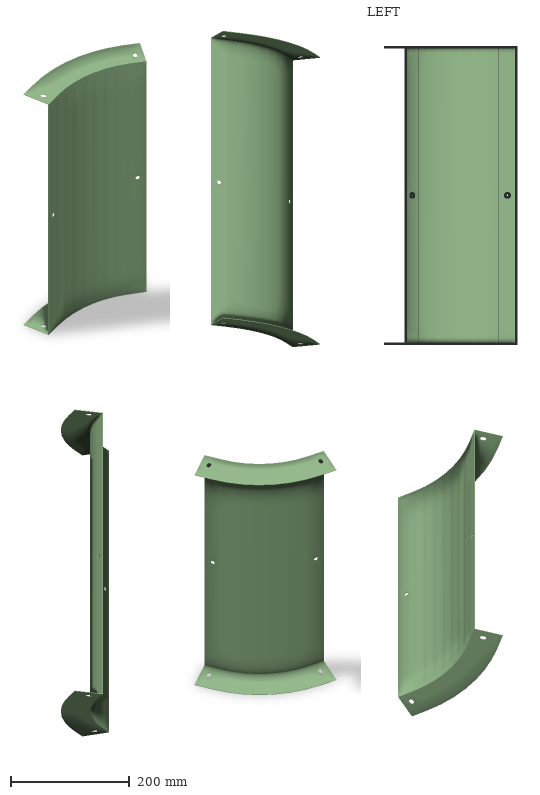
import cadquery as cq
import math

height = 500.0
sheet = 1.0
flange_width = 50.0
bend_radius = 190.0
bend_angle = 45.0
straight = 30.0
hole_diameter = 7.0
slot_length = 10.5
end_distance = straight / 2
slot_inset = 20.0

centre_x = flange_width + bend_radius
sweep = math.radians(bend_angle)
end_direction = (math.sin(sweep), math.cos(sweep))


def arc_point(radius, angle):
    """Point on an arc about the bend centre; angle zero is the -X side."""
    return (centre_x - radius * math.cos(angle), straight + radius * math.sin(angle))


def beyond_arc(radius, distance):
    """Point on the second straight run, a distance past the end of the arc."""
    x, y = arc_point(radius, sweep)
    return (x + distance * end_direction[0], y + distance * end_direction[1])


def curved_strip(width, thickness):
    """Plate following the bend, extending outward from the inner radius."""
    outer_radius = bend_radius + width
    return (
        cq.Workplane("XY")
        .moveTo(centre_x - bend_radius, 0)
        .lineTo(*arc_point(bend_radius, 0))
        .threePointArc(arc_point(bend_radius, sweep / 2), arc_point(bend_radius, sweep))
        .lineTo(*beyond_arc(bend_radius, straight))
        .lineTo(*beyond_arc(outer_radius, straight))
        .lineTo(*arc_point(outer_radius, sweep))
        .threePointArc(arc_point(outer_radius, sweep / 2), arc_point(outer_radius, 0))
        .lineTo(centre_x - outer_radius, 0)
        .close()
        .extrude(thickness)
    )


def slot_cutter(position, angle):
    """Round-ended slot through both flanges, long across the strip."""
    return (
        cq.Workplane("XY")
        .center(*position)
        .slot2D(slot_length, hole_diameter, angle)
        .extrude(height)
    )


def wall_hole_cutter(position, angle):
    """Round hole through the wall at mid height, square to its face."""
    direction = cq.Vector(math.cos(angle), -math.sin(angle), 0)
    middle = cq.Vector(position[0], position[1], height / 2)
    start = middle - direction * flange_width
    return cq.Solid.makeCylinder(hole_diameter / 2, 2 * flange_width, start, direction)


bottom_flange = curved_strip(flange_width, sheet)
top_flange = bottom_flange.translate((0, 0, height - sheet))
result = curved_strip(sheet, height).union(bottom_flange).union(top_flange)

slot_radius = bend_radius + slot_inset
result = result.cut(slot_cutter((centre_x - slot_radius, end_distance), 0))
result = result.cut(slot_cutter(beyond_arc(slot_radius, end_distance), -bend_angle))
result = result.cut(wall_hole_cutter((centre_x - bend_radius, end_distance), 0))
result = result.cut(wall_hole_cutter(beyond_arc(bend_radius, end_distance), sweep))